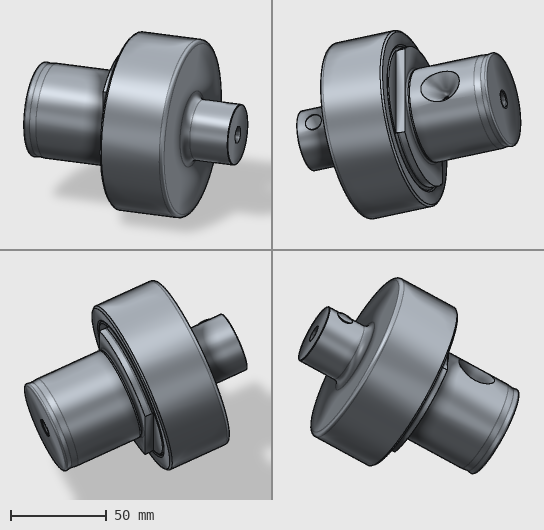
import cadquery as cq
import math


shank_groove_bottom = 3.4
shank_groove_end = 7.0
collar_face = 45.0
disc_face = 50.0
disc_back = 85.0
total_length = 110.0

shank_radius = 25.0
shank_edge_round = 1.0
shank_groove_depth = 0.4

collar_radius = 37.3
flat_to_flat = 54.0

disc_radius = 47.0
disc_front_chamfer = 1.0
disc_back_round = 2.0

nose_radius = 16.0
nose_root_fillet = 4.0
nose_chamfer = 0.3

relief_taper_length = 0.9
relief_depth = 0.3
shank_relief_lead = 1.9
collar_relief_lead = 1.75
shank_relief_start = collar_face - shank_relief_lead
shank_relief_round = shank_relief_lead - relief_taper_length
collar_relief_start = disc_face - collar_relief_lead
collar_relief_round = 1.35
face_relief_radius = 39.25

bore_diameter = 8.8
bore_chamfer = 0.5

seat_x = 26.0
seat_mouth_radius = 10.8
seat_half_angle = 45.0

screw_x = 100.5
screw_diameter = 9.0
screw_length = 10.0


def relief(outline, start_x, radius, fillet_radius):
    """Taper in from the cylinder, then round out towards the shoulder by a quarter circle."""
    neck_x = start_x + relief_taper_length
    neck_radius = radius - relief_depth
    swing = fillet_radius * math.sqrt(0.5)
    return (
        outline.lineTo(start_x, radius)
        .lineTo(neck_x, neck_radius)
        .threePointArc(
            (neck_x + swing, neck_radius + fillet_radius - swing),
            (neck_x + fillet_radius, neck_radius + fillet_radius),
        )
    )


def turned_body():
    outline = (
        cq.Workplane("XZ")
        .lineTo(0, shank_radius - shank_edge_round)
        .radiusArc((shank_edge_round, shank_radius), shank_edge_round)
        .lineTo(shank_groove_bottom, shank_radius - shank_groove_depth)
        .lineTo(shank_groove_end, shank_radius)
    )
    outline = relief(outline, shank_relief_start, shank_radius, shank_relief_round)
    outline = outline.lineTo(collar_face, collar_radius)
    outline = relief(outline, collar_relief_start, collar_radius, collar_relief_round)
    nose_fillet_end = disc_back + nose_root_fillet
    return (
        outline.lineTo(disc_face, face_relief_radius)
        .lineTo(disc_face, disc_radius - disc_front_chamfer)
        .lineTo(disc_face + disc_front_chamfer, disc_radius)
        .lineTo(disc_back - disc_back_round, disc_radius)
        .radiusArc((disc_back, disc_radius - disc_back_round), disc_back_round)
        .lineTo(disc_back, nose_radius + nose_root_fillet)
        .radiusArc((nose_fillet_end, nose_radius), -nose_root_fillet)
        .lineTo(total_length - nose_chamfer, nose_radius)
        .lineTo(total_length, nose_radius - nose_chamfer)
        .lineTo(total_length, 0)
        .close()
        .revolve(360, (0, 0, 0), (1, 0, 0))
    )


def wrench_flat(side):
    """Block removed beside the collar, down to the plane of the disc face."""
    return cq.Workplane("XY").box(
        disc_face - collar_face, collar_radius, 2 * collar_radius, centered=(False, True, True)
    ).translate((collar_face, side * (flat_to_flat + collar_radius) / 2, 0))


def bore():
    radius = bore_diameter / 2
    return (
        cq.Workplane("XZ")
        .lineTo(0, radius + bore_chamfer)
        .lineTo(bore_chamfer, radius)
        .lineTo(total_length, radius)
        .lineTo(total_length, 0)
        .close()
        .revolve(360, (0, 0, 0), (1, 0, 0))
    )


def clamping_seat():
    depth = seat_mouth_radius / math.tan(math.radians(seat_half_angle))
    cone = cq.Solid.makeCone(
        seat_mouth_radius, 0, depth, cq.Vector(seat_x, shank_radius, 0), cq.Vector(0, -1, 0)
    )
    return cq.Workplane("XY").add(cone)


def set_screw_cylinder():
    """Screw flush with the nose at its crown; its seat in the nose has the same shape."""
    return (
        cq.Workplane("XZ", origin=(screw_x, nose_radius, 0))
        .circle(screw_diameter / 2)
        .extrude(screw_length)
    )


set_screw = set_screw_cylinder()
adapter = turned_body()
for side in (-1, 1):
    adapter = adapter.cut(wrench_flat(side))
adapter = adapter.cut(bore()).cut(clamping_seat()).cut(set_screw)

result = cq.Compound.makeCompound([adapter.val(), set_screw.val()])